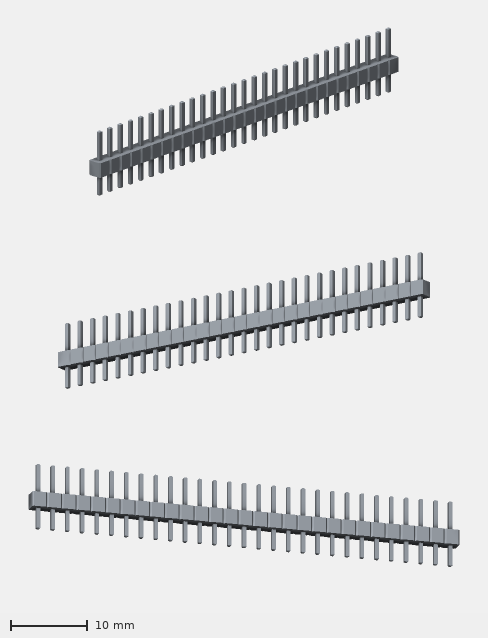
import cadquery as cq

row_length = 58.0
pin_count = 29
pin_width = 0.5
pin_above_body = 4.0
pin_length = 8.8
corner_chamfer = 0.2
tip_chamfer = 0.1

pitch = row_length / pin_count
body_width = pitch
body_height = pitch
pin_below_body = pin_length - pin_above_body - body_height
cell_centers = [(0, (index - (pin_count - 1) / 2) * pitch) for index in range(pin_count)]


def body_outline():
    """Closed outline of the row, with chamfered corners on every cell."""
    half_width = body_width / 2
    half_face = pitch / 2 - corner_chamfer
    neck = half_width - corner_chamfer
    right_side = []
    for _, y in cell_centers:
        right_side += [
            (neck, y - pitch / 2),
            (half_width, y - half_face),
            (half_width, y + half_face),
        ]
    right_side.append((neck, row_length / 2))
    left_side = [(-x, y) for x, y in reversed(right_side)]
    return right_side + left_side


def make_body():
    """Insulating strip resting on the Z = 0 plane."""
    return cq.Workplane("XY").polyline(body_outline()).close().extrude(body_height)


def make_pin():
    """Square pin with chamfered tips, running through the body height."""
    return (
        cq.Workplane("XY")
        .workplane(offset=-pin_below_body)
        .rect(pin_width, pin_width)
        .extrude(pin_length)
        .faces("<Z or >Z")
        .chamfer(tip_chamfer)
    )


pin = make_pin().val()
pins = cq.Workplane("XY").pushPoints(cell_centers).eachpoint(lambda place: pin.moved(place))
result = make_body().union(pins)